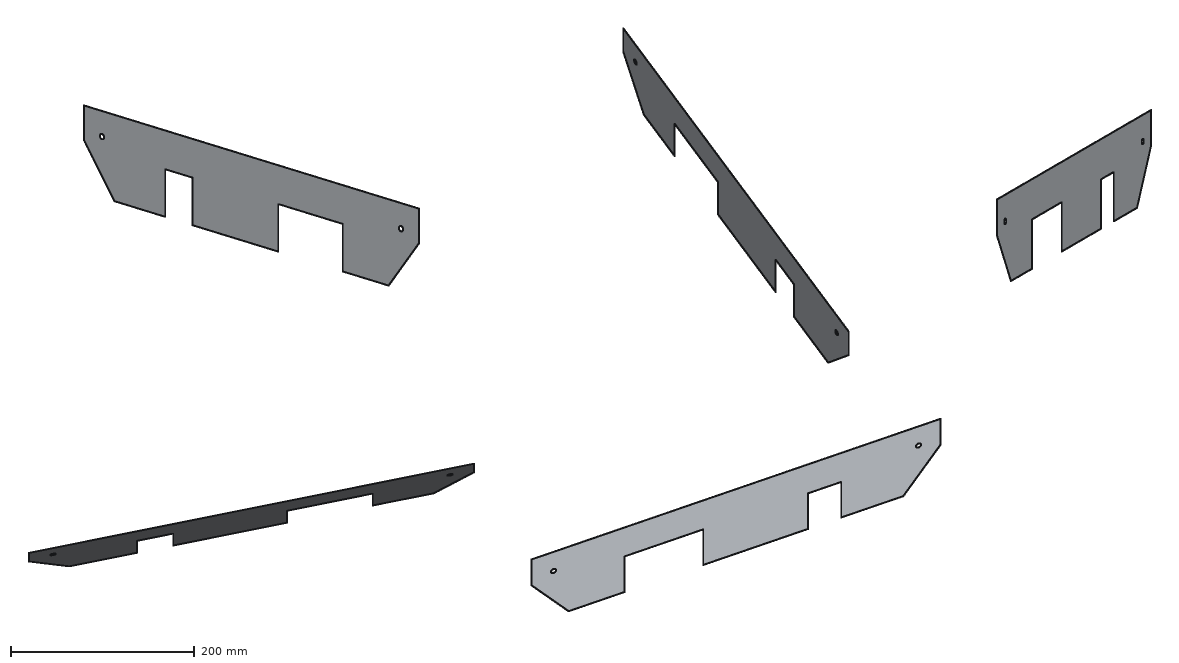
import cadquery as cq

length = 496.0
thickness = 0.1
height = 100.0

corner_run = 45.0
corner_rise = 60.0

notch_height = 55.0
narrow_notch_start = 120.5
narrow_notch_width = 40.0
wide_notch_start = 287.5
wide_notch_width = 95.0

hole_diameter = 6.0
hole_end_distance = 27.0
hole_top_distance = 30.0

half_length = length / 2
half_height = height / 2


def upright_box(width, box_height):
    """Thin box in the plane of the plate, with its lower left corner at the plate's."""
    return cq.Workplane("XY").box(width, thickness, box_height, centered=(False, True, False)).translate(
        (-half_length, 0, -half_height)
    )


plate = (
    cq.Workplane("XZ")
    .moveTo(-half_length, half_height)
    .lineTo(half_length, half_height)
    .lineTo(half_length, -half_height + corner_rise)
    .lineTo(half_length - corner_run, -half_height)
    .lineTo(-half_length + corner_run, -half_height)
    .lineTo(-half_length, -half_height + corner_rise)
    .close()
    .extrude(thickness / 2, both=True)
)

for start, width in (
    (narrow_notch_start, narrow_notch_width),
    (wide_notch_start, wide_notch_width),
):
    plate = plate.cut(upright_box(width, notch_height).translate((start, 0, 0)))

hole_x = half_length - hole_end_distance
hole_z = half_height - hole_top_distance
holes = (
    cq.Workplane("XZ")
    .pushPoints([(-hole_x, hole_z), (hole_x, hole_z)])
    .circle(hole_diameter / 2)
    .extrude(thickness, both=True)
)

result = plate.cut(holes)